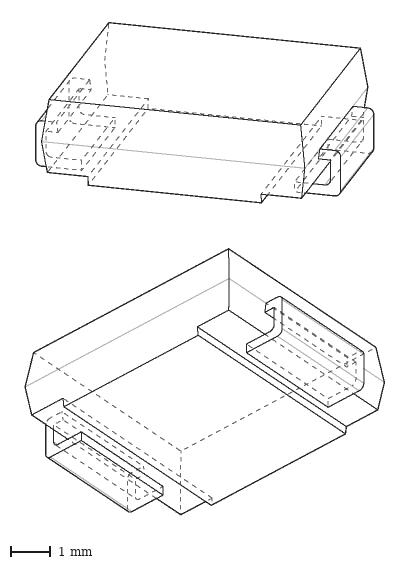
import cadquery as cq

overall_length = 8.01
overall_height = 2.33

body_length = 6.91
body_width = 5.9
parting_z = 1.23
draft_inset = 0.15
body_bottom_z = 0.11
pedestal_length = 4.55
step_z = 0.36

lead_width = 3.1
lead_thickness = 0.27
foot_length = 1.21
outer_bend_radius = 0.16
inner_bend_radius = 0.145


def tapered_half(end_z):
    """Body half that narrows from the parting plane to end_z."""
    return (
        cq.Workplane("XY", origin=(0, 0, parting_z))
        .rect(body_length, body_width)
        .workplane(offset=end_z - parting_z)
        .rect(body_length - 2 * draft_inset, body_width - 2 * draft_inset)
        .loft(ruled=True, combine=True)
    )


def end_step(side):
    """Clearance under one end of the body, outside the central pedestal."""
    step_length = (overall_length - pedestal_length) / 2
    center_x = side * (pedestal_length + step_length) / 2
    return (
        cq.Workplane("XY", origin=(center_x, 0, 0))
        .rect(step_length, body_width)
        .extrude(step_z)
    )


def left_lead():
    """C-shaped lead that leaves the body at the parting plane and folds under."""
    outer_x = -overall_length / 2
    inner_x = outer_x + lead_thickness
    foot_x = outer_x + foot_length
    root_x = -body_length / 2 + 2 * draft_inset
    root_bottom_z = parting_z - lead_thickness
    lead = (
        cq.Workplane("XZ")
        .moveTo(root_x, parting_z)
        .lineTo(outer_x, parting_z)
        .lineTo(outer_x, 0)
        .lineTo(foot_x, 0)
        .lineTo(foot_x, lead_thickness)
        .lineTo(inner_x, lead_thickness)
        .lineTo(inner_x, root_bottom_z)
        .lineTo(root_x, root_bottom_z)
        .close()
        .extrude(lead_width / 2, both=True)
    )
    lead = lead.edges("|Y and <X").fillet(outer_bend_radius)
    inner_bend = cq.selectors.NearestToPointSelector((inner_x, 0, lead_thickness))
    return lead.edges("|Y").edges(inner_bend).fillet(inner_bend_radius)


body = tapered_half(overall_height).union(tapered_half(body_bottom_z))
for side in (-1, 1):
    body = body.cut(end_step(side))

lead = left_lead()
result = body.union(lead).union(lead.mirror("YZ"))